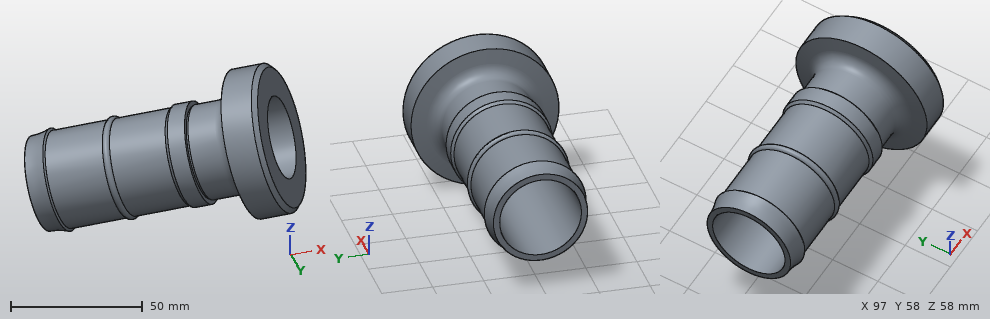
import cadquery as cq
import math

total_length = 97.0
bore_radius = 32.0 / 2
joint_x = 65.0

tip_radius = 37.0 / 2
barrel_radius = 38.0 / 2
ridge_radius = 40.0 / 2
nose_length = 8.0
nose_step = 0.6
bead_center_x = 33.0
bead_width = 2.9
collar_x = 58.1
collar_chamfer = 1.3

neck_radius = 37.0 / 2
neck_end_radius = 36.0 / 2
neck_taper_length = 0.9
flange_radius = 58.0 / 2
flange_rim_x = 82.9
flange_chamfer = 1.8
fillet_end_radius = 45.8 / 2
back_face_angle = math.radians(8.0)


def turn(profile):
    """Revolve a closed (X, radius) profile about the X axis."""
    return profile.close().revolve(360, (0, 0, 0), (1, 0, 0))


def make_hose_tail():
    nose_rise = ridge_radius - tip_radius
    nose_arc_radius = (nose_length**2 + nose_rise**2) / (2 * nose_rise)
    nose_mid_x = nose_length / 2
    nose_mid_radius = tip_radius + nose_arc_radius - math.sqrt(nose_arc_radius**2 - nose_mid_x**2)
    bead_start = bead_center_x - bead_width / 2
    bead_end = bead_center_x + bead_width / 2

    profile = (
        cq.Workplane("XY")
        .moveTo(0, bore_radius)
        .lineTo(0, tip_radius)
        .threePointArc((nose_mid_x, nose_mid_radius), (nose_length, ridge_radius))
        .lineTo(nose_length + nose_step, barrel_radius)
        .lineTo(bead_start, barrel_radius)
        .threePointArc((bead_center_x, ridge_radius), (bead_end, barrel_radius))
        .lineTo(collar_x - collar_chamfer, barrel_radius)
        .lineTo(collar_x, ridge_radius)
        .lineTo(joint_x, ridge_radius)
        .lineTo(joint_x, bore_radius)
    )
    return turn(profile)


def make_flange():
    fillet_radius = (fillet_end_radius - neck_radius) / (1 - math.sin(back_face_angle))
    fillet_end_x = flange_rim_x - (flange_radius - fillet_end_radius) * math.tan(back_face_angle)
    fillet_start_x = fillet_end_x - fillet_radius * math.cos(back_face_angle)
    mid_angle = (math.pi / 2 - back_face_angle) / 2
    fillet_mid = (
        fillet_start_x + fillet_radius * math.sin(mid_angle),
        neck_radius + fillet_radius * (1 - math.cos(mid_angle)),
    )

    profile = (
        cq.Workplane("XY")
        .moveTo(joint_x, bore_radius)
        .lineTo(joint_x, neck_end_radius)
        .lineTo(joint_x + neck_taper_length, neck_radius)
        .lineTo(fillet_start_x, neck_radius)
        .threePointArc(fillet_mid, (fillet_end_x, fillet_end_radius))
        .lineTo(flange_rim_x, flange_radius)
        .lineTo(total_length - flange_chamfer, flange_radius)
        .lineTo(total_length, flange_radius - flange_chamfer)
        .lineTo(total_length, bore_radius)
    )
    return turn(profile)


hose_tail = make_hose_tail()
flange = make_flange()
result = cq.Compound.makeCompound([hose_tail.val(), flange.val()])